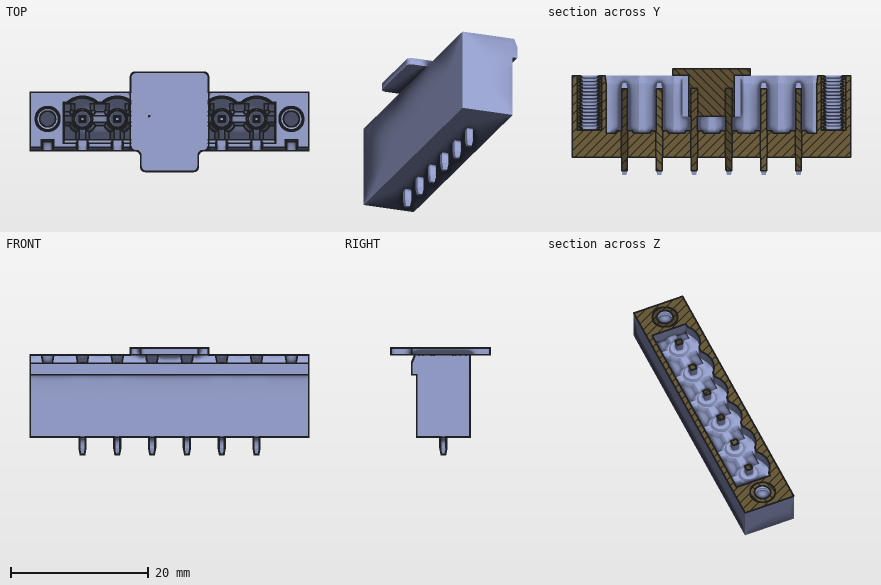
import cadquery as cq


pitch = 5.08
pin_count = 6
pin_positions = [(i - (pin_count - 1) / 2) * pitch for i in range(pin_count)]
insert_offset = (pin_count + 1) / 2 * pitch
insert_positions = [-insert_offset, insert_offset]

housing_length = (pin_count + 2) * pitch
housing_height = 12.0
housing_half_width = 3.92
lip_front = -4.65
lip_top_front = -4.15
lip_chamfer_height = 1.22
lip_drop = 2.94

cavity_floor = 3.0
lead_in_bottom = housing_height - lip_chamfer_height
cavity_half_length = 15.35
cavity_front = -3.07
cavity_back = 2.23
lobe_radius = 3.06
mouth_half_length = 15.5
mouth_front = -3.55
mouth_back = 2.46
mouth_lobe_radius = 3.3
lobe_clip_half_width = 2.49

slot_top_width = 1.8
slot_floor_width = 1.38
end_slot_top_back = -3.02
end_slot_floor_back = -3.32
slot_overrun = 1.0

rib_height = 0.55
rib_slope = 0.55
long_rib_half_top = 0.47
front_rib_half_top = 0.45
back_rib_half_top = 1.15
boss_diameter = 3.2
boss_cone_diameter = 2.95
boss_top_diameter = 2.45
boss_height = 0.4

pin_width = 1.0
pin_edge_chamfer = 0.12
pin_top = 10.85
pin_bottom = -2.58
pin_top_taper = 1.2
pin_bottom_taper = 1.0
pin_top_tip_width = 0.55
pin_bottom_tip_width = 0.6

insert_diameter = 3.6
insert_length = 8.0
thread_major_diameter = 3.18
thread_minor_diameter = 2.3
thread_pitch = 0.5
thread_crest = 0.12

cap_thickness = 1.0
cap_half_width = 5.7
cap_tab_half_width = 4.2
cap_back = 6.83
cap_front = -7.67
cap_corner_radius = 0.74
cap_block_bottom = 6.0
cap_back_bar_half_width = 4.23
cap_back_bar_depth = 1.0
cap_core_half_width = 3.36


def box(x0, x1, y0, y1, z0, z1):
    """Axis-aligned block between two opposite corners."""
    return cq.Workplane("XY").box(x1 - x0, y1 - y0, z1 - z0, centered=False).translate((x0, y0, z0))


def tapered_block(low, high, z0, z1):
    """Loft between two rectangles, each given as (x0, x1, y0, y1)."""
    wires = []
    for (x0, x1, y0, y1), z in ((low, z0), (high, z1)):
        corners = [(x0, y0, z), (x1, y0, z), (x1, y1, z), (x0, y1, z)]
        wires.append(cq.Wire.makePolygon([cq.Vector(*c) for c in corners], close=True))
    return cq.Workplane(obj=cq.Solid.makeLoft(wires, True))


def cone(x, radius_low, radius_high, z0, z1):
    """Upright truncated cone on the pin row."""
    solid = cq.Solid.makeCone(radius_low, radius_high, z1 - z0, cq.Vector(x, 0, z0))
    return cq.Workplane(obj=solid)


def cylinder(x, radius, z0, z1):
    return cq.Workplane("XY", origin=(x, 0, z0)).circle(radius).extrude(z1 - z0)


def make_pin(x):
    half = pin_width / 2
    full = (-half, half, -half, half)
    top_half = pin_top_tip_width / 2
    bottom_half = pin_bottom_tip_width / 2
    shaft_bottom = pin_bottom + pin_bottom_taper
    shaft_top = pin_top - pin_top_taper
    top_tip = (-top_half, top_half, -top_half, top_half)
    bottom_tip = (-bottom_half, bottom_half, -bottom_half, bottom_half)
    envelope = box(*full, shaft_bottom, shaft_top)
    envelope = envelope.union(tapered_block(full, top_tip, shaft_top, pin_top))
    envelope = envelope.union(tapered_block(bottom_tip, full, pin_bottom, shaft_bottom))
    bar = box(*full, pin_bottom, pin_top).edges("|Z").chamfer(pin_edge_chamfer)
    return bar.intersect(envelope).translate((x, 0, 0))


def make_insert(x):
    """Round nut, flush with the housing top, its thread made of ring grooves."""
    major = thread_major_diameter / 2
    minor = thread_minor_diameter / 2
    groove_count = round(insert_length / thread_pitch)
    z = housing_height
    profile = [(insert_diameter / 2, housing_height), (major, housing_height)]
    for _ in range(groove_count):
        profile.append((minor, z - thread_pitch / 2 + thread_crest / 2))
        profile.append((minor, z - thread_pitch / 2 - thread_crest / 2))
        z -= thread_pitch
        profile.append((major, z))
    insert_bottom = housing_height - insert_length
    profile.append((insert_diameter / 2, insert_bottom))
    ring = cq.Workplane("XZ").polyline(profile).close().revolve(360, (0, 0), (0, 1))
    return ring.translate((x, 0, 0))


def housing_shell():
    profile = [
        (housing_half_width, 0),
        (housing_half_width, housing_height),
        (lip_top_front, housing_height),
        (lip_front, housing_height - lip_chamfer_height),
        (lip_front, housing_height - lip_drop),
        (-housing_half_width, housing_height - lip_drop),
        (-housing_half_width, 0),
    ]
    return cq.Workplane("YZ").polyline(profile).close().extrude(housing_length / 2, both=True)


def cavity():
    """Rectangular pocket with a flared mouth; the lobe behind each pin starts level with the rib tops."""
    low = (-cavity_half_length, cavity_half_length, cavity_front, cavity_back)
    high = (-mouth_half_length, mouth_half_length, mouth_front, mouth_back)
    space = box(*low, cavity_floor, lead_in_bottom)
    space = space.union(tapered_block(low, high, lead_in_bottom, housing_height))
    for x in pin_positions:
        lobe = cylinder(x, lobe_radius, cavity_floor + rib_height, lead_in_bottom)
        lobe = lobe.union(cone(x, lobe_radius, mouth_lobe_radius, lead_in_bottom, housing_height))
        clip = box(x - lobe_clip_half_width, x + lobe_clip_half_width,
                   0, housing_half_width, cavity_floor, housing_height)
        space = space.union(lobe.intersect(clip))
    return space


def lip_slot(x, floor_back, top_back):
    """Slot with flared sides, open to the front of the lip."""
    front = lip_front - slot_overrun
    low = (x - slot_floor_width / 2, x + slot_floor_width / 2, front, floor_back)
    high = (x - slot_top_width / 2, x + slot_top_width / 2, front, top_back)
    return tapered_block(low, high, lead_in_bottom, housing_height)


def rib(x0, x1, y0, y1, slope_x, slope_y):
    """Floor rib given by its top face, its sides sloping outwards."""
    base = (x0 - slope_x, x1 + slope_x, y0 - slope_y, y1 + slope_y)
    return tapered_block(base, (x0, x1, y0, y1), cavity_floor, cavity_floor + rib_height)


def floor_ribs():
    rib_top = cavity_floor + rib_height
    boss_radius = boss_diameter / 2
    ribs = rib(-cavity_half_length, cavity_half_length, -long_rib_half_top, long_rib_half_top, 0, rib_slope)
    for x in pin_positions:
        front = rib(x - front_rib_half_top, x + front_rib_half_top, cavity_front, 0, rib_slope, 0)
        back = rib(x - back_rib_half_top, x + back_rib_half_top, 0, cavity_back, rib_slope, 0)
        skirt = cone(x, boss_radius + rib_slope, boss_radius, cavity_floor, rib_top)
        boss = cone(x, boss_cone_diameter / 2, boss_top_diameter / 2, rib_top, rib_top + boss_height)
        ribs = ribs.union(front).union(back).union(skirt).union(boss)
    return ribs


def make_housing(pins):
    body = housing_shell().cut(cavity().cut(floor_ribs()))
    for x in pin_positions:
        body = body.cut(lip_slot(x, cavity_front, cavity_front))
    for x in insert_positions:
        body = body.cut(lip_slot(x, end_slot_floor_back, end_slot_top_back))
        body = body.cut(cylinder(x, insert_diameter / 2, housing_height - insert_length, housing_height))
    for pin in pins:
        body = body.cut(pin)
    return body


def make_cap(pins):
    """Flat suction plate with a T-shaped block below that slips over the two middle pins."""
    plate_top = housing_height + cap_thickness
    plate = box(-cap_half_width, cap_half_width, lip_front, cap_back, housing_height, plate_top)
    tab = box(-cap_tab_half_width, cap_tab_half_width, cap_front, lip_front, housing_height, plate_top)
    cap = plate.union(tab).edges("|Z").fillet(cap_corner_radius)
    back_bar = box(-cap_back_bar_half_width, cap_back_bar_half_width,
                   cavity_back - cap_back_bar_depth, cavity_back, cap_block_bottom, housing_height)
    core = box(-cap_core_half_width, cap_core_half_width,
               cavity_front, cavity_back, cap_block_bottom, housing_height)
    cap = cap.union(back_bar).union(core)
    for pin in pins:
        cap = cap.cut(pin)
    return cap


pins = [make_pin(x) for x in pin_positions]
inserts = [make_insert(x) for x in insert_positions]
housing = make_housing(pins)
cap = make_cap(pins)

result = cq.Compound.makeCompound(
    [housing.val(), cap.val(), *[pin.val() for pin in pins], *[insert.val() for insert in inserts]]
)